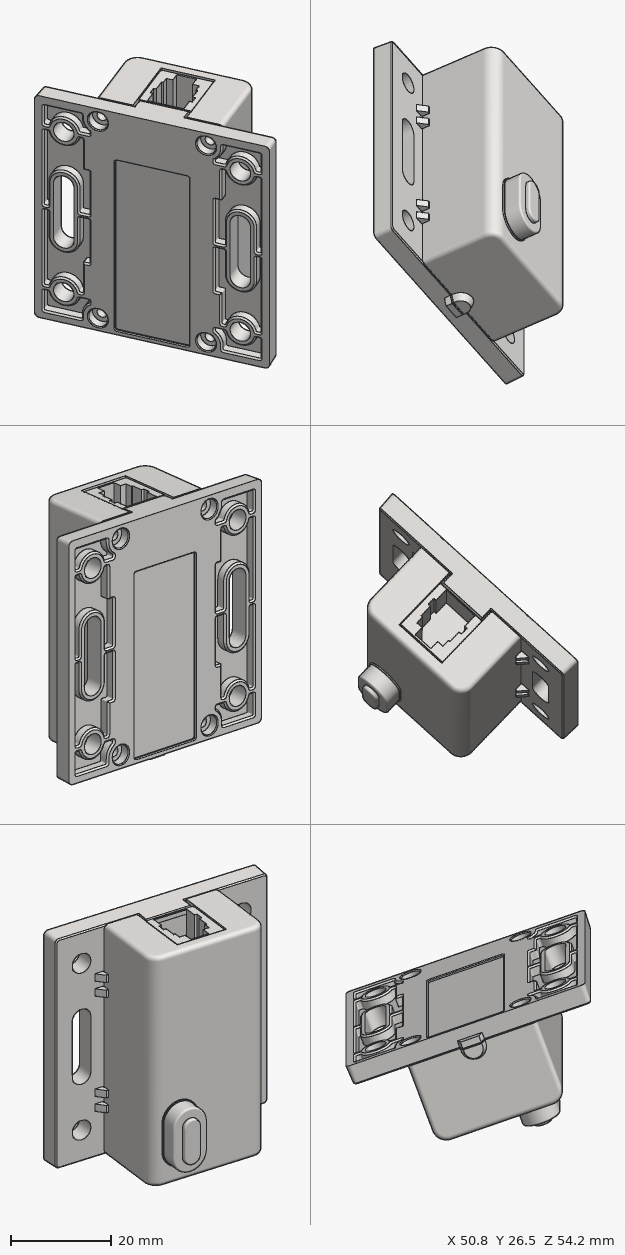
import cadquery as cq
PLATE_X = 50.75
PLATE_Z = 52.75
PLATE_Y = 4.2
PLATE_CORNER_R = 1.1
PLATE_DRAFT = 3.0
PLATE_BACK_CHAMFER = 0.25

MOUNT_X = 19.05
MOUNT_Z = 19.05
MOUNT_R = 2.2
BOSS_R = 3.35
SLOT_HALF = 6.35

SCREW_X = 11.65
SCREW_Z = 23.4
SCREW_R = 1.1
SCREW_HEAD_R = 2.05
SCREW_HEAD_DEPTH = 2.15
SCREW_HEAD_CHAMFER = 0.2
SCREW_WALL_R = 3.55

POCKET_DEPTH = 2.15
POCKET_CHAMFER = 0.4
POCKET_CORNER_R = 0.25
POCKET_OUTER_X = 23.4
POCKET_STEP_X = 15.0
POCKET_INNER_X = 13.5
POCKET_STEP_Z = 11.0
POCKET_TOP_Z = 24.2
POCKET_BOTTOM_Z = 24.55
HOLE_WEB = 1.3
SLOT_WEB = 1.1

LABEL_X = 16.05
LABEL_TOP_Z = 15.05
LABEL_BOTTOM_Z = -25.35
LABEL_DEPTH = 0.55
LABEL_CHAMFER = 0.2
LABEL_CORNER_R = 0.55

HOUSING_X = 27.35
HOUSING_Z = 52.4
HOUSING_BACK_Y = 21.55
HOUSING_SIDE_R = 2.95
HOUSING_END_R = 1.0

RIB_CENTRES_Z = (11.45, 14.85)
RIB_WIDTH = 1.7
RIB_TOP_Y = 5.95
RIB_GAP = 0.15
RIB_TOP_X = 14.3
RIB_FOOT_X = 15.9

SOCKET_X = 11.4
SOCKET_FRONT_Y = 6.95
SOCKET_BACK_Y = 18.55
SOCKET_RECESS = 0.25
SOCKET_LENGTH = 13.0
CAVITY_DEPTH = 10.85
CAVITY_STEPS = (
    (3.9, 7.15, 14.5),
    (4.5, 10.15, 11.8),
    (3.55, 14.5, 16.1),
    (2.1, 16.1, 18.1),
)

OPENING_X = 11.6
OPENING_BACK_Y = 18.9
OPENING_DEPTH = 1.65
TONGUE_X = 10.55
TONGUE_CHAMFER = 0.45

BUTTON_X = 7.0
BUTTON_Z = -15.1
BUTTON_STRAIGHT = 6.5
COLLAR_R = 3.95
COLLAR_TOP_Y = 25.5
COLLAR_EDGE_R = 0.4
COLLAR_FOOT_R = 4.2
COLLAR_FOOT_Y = 21.85
BUTTON_R = 1.9
BUTTON_TOP_Y = 26.5
BUTTON_EDGE_R = 0.4
BUTTON_SEAT_DEPTH = 1.65

TAB_HEIGHT = 1.5
TAB_BASE_R = 2.55
TAB_TIP_R = 1.95
TAB_CENTRE_Y = 4.7
TAB_FRONT_Y = 2.5
TAB_ROOT = 0.55

TOLERANCE = 0.005
MIRRORS = [(sx, sz) for sx in (-1, 1) for sz in (-1, 1)]


def box(x0, x1, y0, y1, z0, z1):
    """Box given by its limits along each axis."""
    return cq.Workplane("XY").box(x1 - x0, y1 - y0, z1 - z0, centered=False).translate((x0, y0, z0))


def facing_back(y):
    """Sketch plane at height Y whose local axes are (X, -Z) and which extrudes towards +Y."""
    return cq.Workplane("XZ", origin=(0, y, 0)).transformed(rotate=(180, 0, 0))


def cylinder(x, z, radius, y0, y1):
    return facing_back(y0).center(x, -z).circle(radius).extrude(y1 - y0)


def stadium(x, z, straight, radius, y0, y1):
    """Upright stadium, round ends up and down along Z, extruded along Y."""
    length = straight + 2 * radius
    return facing_back(y0).center(x, -z).slot2D(length, 2 * radius, 90).extrude(y1 - y0)


def pull_tab(y0, y1):
    """Part of the tapered D-shaped tab that lies between two Y levels."""
    slope = (TAB_BASE_R - TAB_TIP_R) / TAB_HEIGHT
    root_r = TAB_BASE_R + TAB_ROOT * slope
    root_z = -PLATE_Z / 2 + TAB_ROOT
    length = TAB_ROOT + TAB_HEIGHT
    tip_z = root_z - length
    cone = cq.Workplane(cq.Solid.makeCone(
        root_r, TAB_TIP_R, length, pnt=cq.Vector(0, TAB_CENTRE_Y, root_z), dir=cq.Vector(0, 0, -1)))
    wedge = (
        cq.Workplane("XZ", origin=(0, TAB_CENTRE_Y, 0))
        .polyline([(-root_r, root_z), (root_r, root_z), (TAB_TIP_R, tip_z), (-TAB_TIP_R, tip_z)])
        .close()
        .extrude(TAB_CENTRE_Y - TAB_FRONT_Y)
    )
    slab = box(-2 * root_r, 2 * root_r, y0, y1, tip_z, root_z)
    return cone.union(wedge).intersect(slab)


def with_mouth(cutter, chamfer):
    """Widen a recess cutter at the mounting face by a 45-degree chamfer."""
    mouth_wire = cutter.faces("<Y").wires().val()
    mouth = (
        cq.Workplane("XZ", origin=(0, chamfer, 0))
        .add(mouth_wire.translate(cq.Vector(0, chamfer, 0)))
        .toPending()
        .extrude(chamfer, taper=-45)
    )
    return cutter.union(mouth)


def finished_pocket(outline):
    """Pocket cutter with rounded corners and a chamfered mouth.

    Edges level with the screw are left alone: the wall runs tangent into the ring around the screw there.
    """
    corners = outline.edges("|Y").filter(lambda edge: abs(edge.Center().z - SCREW_Z) > TOLERANCE)
    return with_mouth(corners.fillet(POCKET_CORNER_R), POCKET_CHAMFER)


def label_recess():
    recess = box(-LABEL_X / 2, LABEL_X / 2, 0, LABEL_DEPTH, LABEL_BOTTOM_Z, LABEL_TOP_Z)
    return with_mouth(recess.edges("|Y").fillet(LABEL_CORNER_R), LABEL_CHAMFER)


def corner_pocket(end_z):
    """Pocket in the (+X, +Z) corner, beside the screw and the mounting hole, ending at end_z."""
    outline = box(POCKET_INNER_X, POCKET_OUTER_X, 0, POCKET_DEPTH, MOUNT_Z + HOLE_WEB / 2, end_z)
    outline = outline.cut(box(0, SCREW_X + SCREW_WALL_R, 0, POCKET_DEPTH, SCREW_Z, PLATE_Z))
    outline = outline.cut(cylinder(SCREW_X, SCREW_Z, SCREW_WALL_R, 0, POCKET_DEPTH))
    outline = outline.cut(cylinder(MOUNT_X, MOUNT_Z, BOSS_R, 0, POCKET_DEPTH))
    return finished_pocket(outline)


def side_pockets():
    """The two pockets between the slot and the mounting hole on the (+X, +Z) side."""
    top = MOUNT_Z - HOLE_WEB / 2
    outline = box(POCKET_INNER_X, POCKET_OUTER_X, 0, POCKET_DEPTH, SLOT_WEB / 2, top)
    outline = outline.cut(box(0, POCKET_STEP_X, 0, POCKET_DEPTH, POCKET_STEP_Z, top))
    outline = outline.cut(cylinder(MOUNT_X, MOUNT_Z, BOSS_R, 0, POCKET_DEPTH))
    outline = outline.cut(stadium(MOUNT_X, 0, 2 * SLOT_HALF, BOSS_R, 0, POCKET_DEPTH))
    return finished_pocket(outline)


def in_quadrant(shape, sx, sz):
    """Mirror a shape from the (+X, +Z) quadrant into another quadrant."""
    if sx < 0:
        shape = shape.mirror("YZ")
    if sz < 0:
        shape = shape.mirror("XY")
    return shape


def locating_rib(z):
    """Rib on the +X side of the housing, with a 45-degree outer slope."""
    inner_x = HOUSING_X / 2 + RIB_GAP
    return (
        cq.Workplane("XY", origin=(0, 0, z - RIB_WIDTH / 2))
        .polyline([(inner_x, PLATE_Y), (RIB_FOOT_X, PLATE_Y), (RIB_TOP_X, RIB_TOP_Y), (inner_x, RIB_TOP_Y)])
        .close()
        .extrude(RIB_WIDTH)
    )


def screw_hole(x, z):
    hole = cylinder(x, z, SCREW_R, 0, PLATE_Y)
    head = cylinder(x, z, SCREW_HEAD_R, 0, SCREW_HEAD_DEPTH)
    rim = cq.Workplane(cq.Solid.makeCone(
        SCREW_HEAD_R + SCREW_HEAD_CHAMFER, SCREW_HEAD_R, SCREW_HEAD_CHAMFER,
        pnt=cq.Vector(x, 0, z), dir=cq.Vector(0, 1, 0)))
    return hole.union(head).union(rim)


def drafted_block(height):
    """Plate outline extruded from the mounting face, narrowing towards +Y."""
    outline = facing_back(0).sketch().rect(PLATE_X, PLATE_Z).vertices().fillet(PLATE_CORNER_R).finalize()
    return outline.extrude(height, taper=PLATE_DRAFT)


def make_plate():
    plate = drafted_block(PLATE_Y).union(pull_tab(TAB_FRONT_Y, PLATE_Y))
    plate = plate.faces(">Y").chamfer(PLATE_BACK_CHAMFER)

    tongue = drafted_block(SOCKET_FRONT_Y).intersect(
        box(-TONGUE_X / 2, TONGUE_X / 2, POCKET_DEPTH, SOCKET_FRONT_Y,
            HOUSING_Z / 2 - OPENING_DEPTH, PLATE_Z / 2))
    tongue = tongue.faces(">Y").edges(">Z").chamfer(TONGUE_CHAMFER)
    plate = plate.union(tongue)

    for sx, sz in MIRRORS:
        for z in RIB_CENTRES_Z:
            plate = plate.union(in_quadrant(locating_rib(z), sx, sz))

    for sx, sz in MIRRORS:
        end_z = POCKET_TOP_Z if sz > 0 else POCKET_BOTTOM_Z
        plate = plate.cut(in_quadrant(corner_pocket(end_z), sx, sz))
        for pocket in side_pockets().solids().vals():
            plate = plate.cut(in_quadrant(cq.Workplane(pocket), sx, sz))
        plate = plate.cut(cylinder(sx * MOUNT_X, sz * MOUNT_Z, MOUNT_R, 0, PLATE_Y))
        plate = plate.cut(screw_hole(sx * SCREW_X, sz * SCREW_Z))
    for sx in (-1, 1):
        plate = plate.cut(stadium(sx * MOUNT_X, 0, 2 * SLOT_HALF, MOUNT_R, 0, PLATE_Y))

    return plate.cut(label_recess())


def socket_block():
    """Outer block of the socket, also used to cut its seat in the housing."""
    top_z = HOUSING_Z / 2 - SOCKET_RECESS
    return box(-SOCKET_X / 2, SOCKET_X / 2, SOCKET_FRONT_Y, SOCKET_BACK_Y, top_z - SOCKET_LENGTH, top_z)


def make_socket():
    socket = socket_block()
    top_z = HOUSING_Z / 2
    for half_width, y0, y1 in CAVITY_STEPS:
        socket = socket.cut(box(-half_width, half_width, y0, y1, top_z - CAVITY_DEPTH, top_z))
    return socket


def make_button():
    seat_y = COLLAR_TOP_Y - BUTTON_SEAT_DEPTH
    button = stadium(BUTTON_X, BUTTON_Z, BUTTON_STRAIGHT, BUTTON_R, seat_y, BUTTON_TOP_Y)
    return button.faces(">Y").edges().fillet(BUTTON_EDGE_R)


def make_housing():
    housing = box(-HOUSING_X / 2, HOUSING_X / 2, PLATE_Y, HOUSING_BACK_Y, -HOUSING_Z / 2, HOUSING_Z / 2)
    housing = housing.edges("|Z and >Y").fillet(HOUSING_SIDE_R)
    housing = housing.faces("<Z or >Z").edges("not <Y").fillet(HOUSING_END_R)

    inside_y = HOUSING_BACK_Y - HOUSING_SIDE_R
    foot = stadium(BUTTON_X, BUTTON_Z, BUTTON_STRAIGHT, COLLAR_FOOT_R, inside_y, COLLAR_FOOT_Y)
    collar = stadium(BUTTON_X, BUTTON_Z, BUTTON_STRAIGHT, COLLAR_R, inside_y, COLLAR_TOP_Y)
    collar = collar.faces(">Y").edges().fillet(COLLAR_EDGE_R)
    seat_y = COLLAR_TOP_Y - BUTTON_SEAT_DEPTH
    button_seat = stadium(BUTTON_X, BUTTON_Z, BUTTON_STRAIGHT, BUTTON_R, seat_y, COLLAR_TOP_Y)
    housing = housing.union(foot).union(collar).cut(button_seat)

    opening = box(-OPENING_X / 2, OPENING_X / 2, PLATE_Y, OPENING_BACK_Y,
                  HOUSING_Z / 2 - OPENING_DEPTH, HOUSING_Z / 2)
    housing = housing.cut(opening).cut(socket_block())

    return housing.union(pull_tab(PLATE_Y, HOUSING_BACK_Y))


plate = make_plate()
housing = make_housing()
socket = make_socket()
button = make_button()

result = cq.Compound.makeCompound([
    plate.solids().val(),
    housing.solids().val(),
    socket.solids().val(),
    button.solids().val(),
])